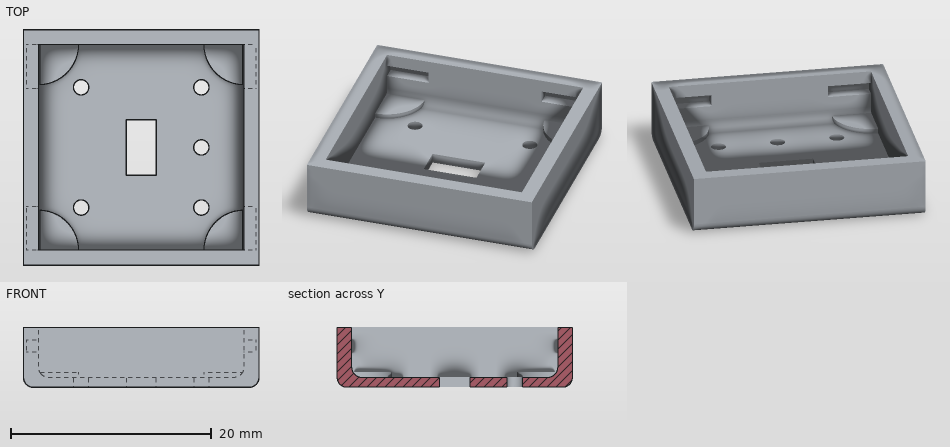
import cadquery as cq

side = 23.5
height = 6.0
wall = 1.5
floor_thickness = 1.0
edge_radius = 1.0
cavity_side = side - 2 * wall
cavity_half = cavity_side / 2

pad_radius = 4.0
pad_height = 0.5

hole_diameter = 1.5
hole_offset = 6.0
window_width = 2.95
window_length = 5.5

slot_length = 4.35
slot_bottom = 3.52
slot_height = 1.2
slot_depth = 1.18

centered_on_floor = (True, True, False)


def make_shell():
    """Square tray with rounded edges running along Y, outside and inside."""
    body = cq.Workplane("XY").box(side, side, height, centered=centered_on_floor)
    body = body.edges("|Y and <Z").fillet(edge_radius)
    cavity = (
        cq.Workplane("XY")
        .workplane(offset=floor_thickness)
        .box(cavity_side, cavity_side, height, centered=centered_on_floor)
        .edges("|Y and <Z")
        .fillet(edge_radius)
    )
    return body.cut(cavity)


def make_corner_pads():
    """Quarter discs centred on the cavity corners, trimmed to the cavity."""
    pad_top = floor_thickness + pad_height
    discs = (
        cq.Workplane("XY")
        .rect(cavity_side, cavity_side, forConstruction=True)
        .vertices()
        .circle(pad_radius)
        .extrude(pad_top)
    )
    pad_base = floor_thickness / 2
    trim = (
        cq.Workplane("XY")
        .workplane(offset=pad_base)
        .box(cavity_side, cavity_side, pad_top - pad_base, centered=centered_on_floor)
    )
    return discs.intersect(trim)


def make_floor_openings():
    """Four corner holes, one extra hole on the +X side, and the central window."""
    hole_centers = [(x, y) for x in (-hole_offset, hole_offset) for y in (-hole_offset, hole_offset)]
    hole_centers.append((hole_offset, 0))
    holes = cq.Workplane("XY").pushPoints(hole_centers).circle(hole_diameter / 2).extrude(height)
    window = cq.Workplane("XY").rect(window_width, window_length).extrude(height)
    return holes.union(window)


def make_wall_slots():
    """Bars crossing the cavity near each Y wall and sinking into both X walls."""
    bar_offset = cavity_half - slot_length / 2
    return (
        cq.Workplane("XY")
        .workplane(offset=slot_bottom)
        .pushPoints([(0, -bar_offset), (0, bar_offset)])
        .rect(cavity_side + 2 * slot_depth, slot_length)
        .extrude(slot_height)
    )


result = (
    make_shell()
    .union(make_corner_pads())
    .cut(make_floor_openings())
    .cut(make_wall_slots())
)